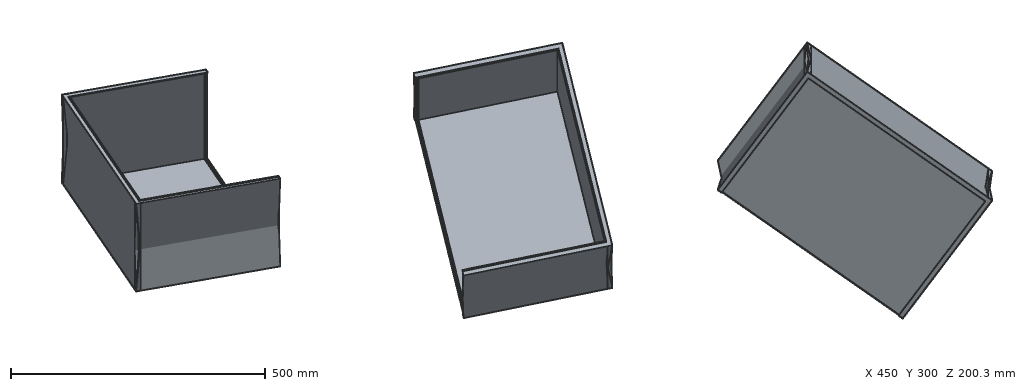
import cadquery as cq

length = 450.0
depth = 300.0
height = 200.3

facing_thickness = 10.0
waist_recess = 8.0
band_height = 20.5
base_thickness = 2.0

tray_thickness = 3.0
lip_width = 2.3
lip_height = 1.5

rear_gap = 1.5
groove_land = 2.5
groove_width = 3.0
groove_depth = 1.0

half_length = length / 2
front = -depth / 2
band_bottom = (height - band_height) / 2
band_top = band_bottom + band_height
lip_bottom = height - lip_height
lipped_thickness = facing_thickness + lip_width


def wall_profile(plane):
    """Waisted wall section with a top lip; outer side at local x = 0, thickness along +x."""
    return (
        cq.Workplane(plane)
        .moveTo(0, base_thickness)
        .lineTo(waist_recess, band_bottom)
        .lineTo(waist_recess, band_top)
        .lineTo(0, height)
        .lineTo(lipped_thickness, height)
        .lineTo(lipped_thickness, lip_bottom)
        .lineTo(facing_thickness, lip_bottom)
        .lineTo(facing_thickness, base_thickness)
        .close()
    )


def make_facing():
    """Front wall and two side walls, crossing at full length in the corners, on a base plate."""
    front_plane = cq.Plane(origin=(-half_length, front, 0), xDir=(0, 1, 0), normal=(1, 0, 0))
    side_plane = cq.Plane(origin=(-half_length, front, 0), xDir=(1, 0, 0), normal=(0, -1, 0))
    front_wall = wall_profile(front_plane).extrude(length)
    left_wall = wall_profile(side_plane).extrude(-depth)
    right_wall = left_wall.mirror("YZ")
    base = cq.Workplane("XY").box(length, depth, base_thickness, centered=(True, True, False))
    rear_notch = (
        cq.Workplane("XY")
        .box(length - 2 * facing_thickness, rear_gap, base_thickness, centered=(True, False, False))
        .translate((0, depth / 2 - rear_gap, 0))
    )
    return base.cut(rear_notch).union(front_wall).union(left_wall).union(right_wall)


def make_tray():
    """Floor with a front and two side walls, open at the rear and on top, with a rear groove."""
    outer_length = length - 2 * facing_thickness
    inner_length = outer_length - 2 * tray_thickness
    outer_depth = depth - facing_thickness - rear_gap
    outer_height = lip_bottom - base_thickness
    block = cq.Workplane("XY").box(outer_length, outer_depth, outer_height, centered=(True, False, False))
    cavity = (
        cq.Workplane("XY")
        .box(inner_length, outer_depth, outer_height, centered=(True, False, False))
        .translate((0, tray_thickness, tray_thickness))
    )
    groove = (
        cq.Workplane("XY")
        .box(inner_length + 2 * groove_depth, groove_width, outer_height, centered=(True, False, False))
        .translate((0, outer_depth - groove_land - groove_width, tray_thickness - groove_depth))
    )
    return block.cut(cavity).cut(groove).translate((0, front + facing_thickness, base_thickness))


facing = make_facing()
tray = make_tray()
result = cq.Compound.makeCompound([facing.val(), tray.val()])